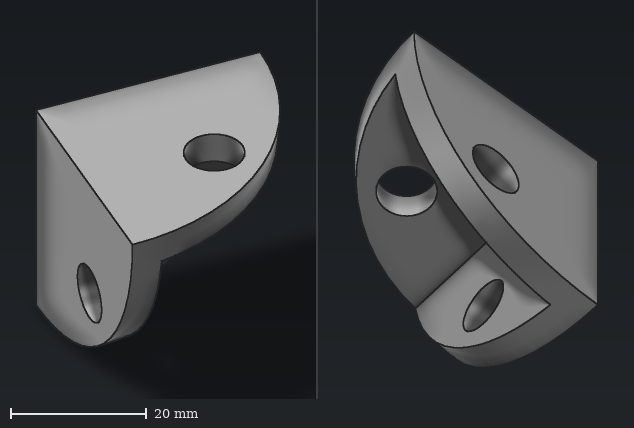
import cadquery as cq

ball_radius = 36.0
wall_thickness = 5.0
hole_diameter = 9.0
hole_offset = 20.0


def corner_box(size, inset):
    """Cube whose near corner lies `inset` inside each of the three flat faces."""
    return (
        cq.Workplane("XY")
        .box(size, size, size, centered=False)
        .translate((inset, inset, -inset - size))
    )


def ball_eighth():
    """The part of the ball lying in +X, +Y and -Z."""
    return cq.Workplane("XY").sphere(ball_radius).intersect(corner_box(ball_radius, 0))


def wall_hole(plane, x_local, y_local, depth):
    """Cutter for the hole through the wall lying on the given plane."""
    return (
        cq.Workplane(plane)
        .center(x_local, y_local)
        .circle(hole_diameter / 2)
        .extrude(depth)
    )


top_hole = wall_hole("XY", hole_offset, hole_offset, -wall_thickness)
front_hole = wall_hole("XZ", hole_offset, -hole_offset, -wall_thickness)
side_hole = wall_hole("YZ", hole_offset, -hole_offset, wall_thickness)

result = ball_eighth().cut(corner_box(ball_radius, wall_thickness))
for hole in (top_hole, front_hole, side_hole):
    result = result.cut(hole)